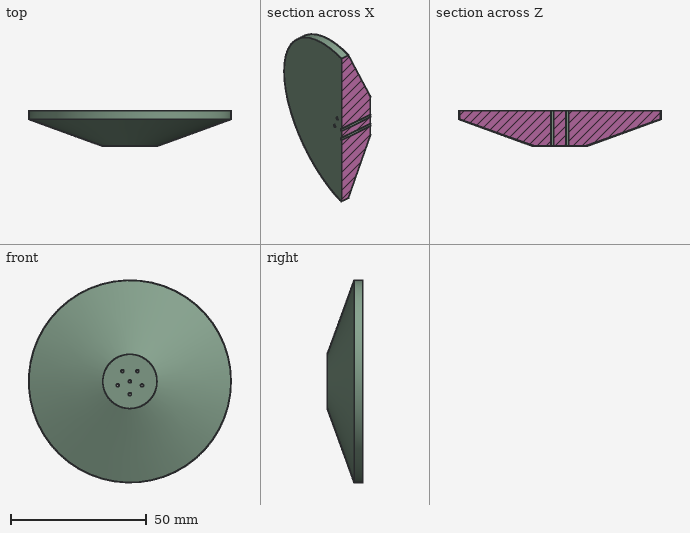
import cadquery as cq

outer_diameter = 74.5
flat_diameter = 20.0
total_depth = 13.1
rim_thickness = 3.2
hole_diameter = 1.0
hole_count = 5
hole_ring_radius = 4.7
lowest_hole_angle = -90.0

half_depth = total_depth / 2
cone_base_y = half_depth - rim_thickness


def make_body():
    """Conical disc with a cylindrical rim, revolved about the Y axis."""
    return (
        cq.Workplane("XY")
        .moveTo(0, -half_depth)
        .lineTo(flat_diameter / 2, -half_depth)
        .lineTo(outer_diameter / 2, cone_base_y)
        .lineTo(outer_diameter / 2, half_depth)
        .lineTo(0, half_depth)
        .close()
        .revolve(360, (0, 0), (0, 1))
    )


def make_holes():
    """Cutters for the centre hole and the ring of holes, through the full depth."""
    face = cq.Workplane("XZ", origin=(0, half_depth, 0))
    centre = face.circle(hole_diameter / 2).extrude(total_depth)
    ring = (
        face.polarArray(hole_ring_radius, lowest_hole_angle, 360, hole_count)
        .circle(hole_diameter / 2)
        .extrude(total_depth)
    )
    return centre.union(ring)


result = make_body().cut(make_holes())